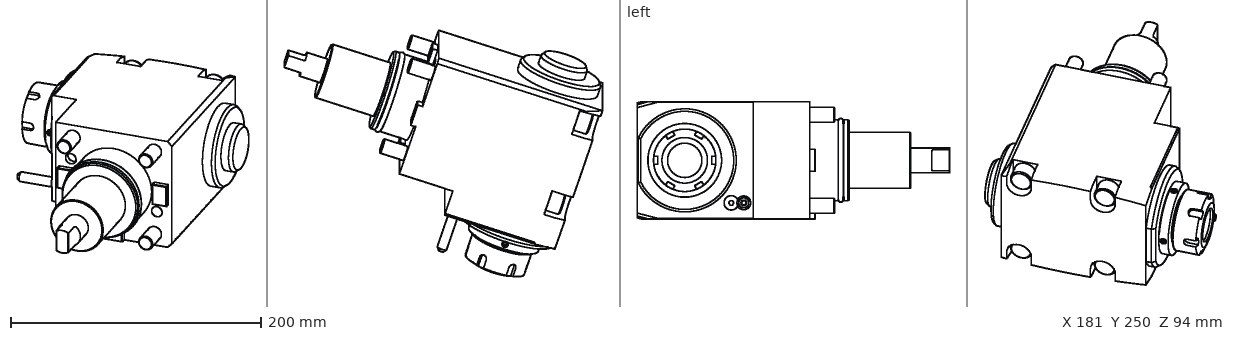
import cadquery as cq
import math


BLOCK_BACK = 138.0
BLOCK_HALF_HEIGHT = 47.0
BLOCK_HALF_WIDTH = 50.0
NOSE_LEFT = -71.0
NOSE_FRONT = 45.0
RIGHT_CHAMFER = 3.8
NOSE_CHAMFER_X = 1.5
NOSE_CHAMFER_Z = 0.5

SWING_RADIUS = 155.0
SWING_AXIS_X = -5.0
SWING_BACK_GAP = 3.8
SWING_ANGLE = 16.0

PILOT_RADIUS = 32.5
PILOT_LENGTH = 31.8
PILOT_CHAMFER_RADIAL = 1.0
PILOT_CHAMFER_AXIAL = 1.5
SHANK_RADIUS = 22.5
SHANK_END = 80.8
SHANK_CHAMFER = 0.8
DRIVE_RADIUS = 10.0
OVERALL_LENGTH = 250.0
DRIVE_END = OVERALL_LENGTH - BLOCK_BACK
TANG_START = 97.8
TANG_HALF_WIDTH = 5.2
TANG_ROOT_FILLET = 1.2
TANG_TIP_CHAMFER = 0.5

RING_SECTION_RADIUS = 2.0
RING_OUTER_RADIUS = 33.5
RING_CENTRE_RADIUS = RING_OUTER_RADIUS - RING_SECTION_RADIUS
GROOVE_START = 22.8
GROOVE_WIDTH = 4.5
GROOVE_FLOOR_RADIUS = RING_CENTRE_RADIUS - RING_SECTION_RADIUS

SCREW_X = 35.0
SCREW_Z = 36.5
SCREW_RADIUS = 6.0
SCREW_PROJECTION = 20.0
SCREW_CHAMFER = 0.8
HEAD_RADIUS = 9.0
HEAD_HEIGHT = 12.0
HEAD_CHAMFER = 1.0
POCKET_RADIUS = 10.2
POCKET_DEPTH = 17.5

KEY_HEIGHT = 4.5
KEY_WIDTH = 17.8
KEY_INNER = 34.8
KEY_OUTER = 47.0
KEY_CHAMFER = 0.5

FACE_HOLE_X = 37.0
FACE_HOLE_Z = 17.0
FACE_HOLE_RADIUS = 4.5
FACE_HOLE_DEPTH = 5.0
DRILL_POINT_ANGLE = 118.0
PLUG_RECESS = 0.2

SPINDLE_Y = 100.0
FLANGE_RADIUS = 41.2
FLANGE_LEFT = -78.5
FLANGE_FLAT = 37.2
FLANGE_CHAMFER_AXIAL = 3.0
FLANGE_CHAMFER_RADIAL = 2.0
COLLAR_RADIUS = 29.5
COLLAR_LEFT = -87.0
COLLAR_GAP = 0.8
COLLAR_GAP_RADIUS = 27.5
NECK_RADIUS = 20.2
SET_SCREW_COUNT = 4
SET_SCREW_X = -83.0
SET_SCREW_RADIUS = 2.5
SET_SCREW_RECESS = 0.5
SOCKET_RADIUS = 1.2
SOCKET_DEPTH = 2.5

NUT_LEFT = -111.2
NUT_RIGHT = -89.0
NUT_RADIUS = 25.0
NUT_CONE_LENGTH = 2.5
NUT_FACE_RADIUS = 18.2
NUT_REAR_CHAMFER = 0.8
NUT_BORE_RADIUS = 13.8
NUT_BORE_DEPTH = 2.0
SLOT_COUNT = 6
SLOT_WIDTH = 6.5
SLOT_END = -98.8
SLOT_FLOOR_RADIUS = 21.5

COVER_RADIUS = 33.8
COVER_RIGHT = 60.2
COVER_CHAMFER_AXIAL = 2.5
COVER_CHAMFER_RADIAL = 1.8
STUB_RADIUS = 19.5
STUB_RIGHT = 69.8
STUB_CHAMFER_AXIAL = 3.0
STUB_CHAMFER_RADIAL = 2.0

PIPE_Y = 52.8
PIPE_Z = -34.0
PIPE_RADIUS = 4.0
PIPE_TIP = -103.2
PIPE_TIP_LENGTH = 2.5
PIPE_TIP_RADIUS = 2.2
PIPE_BASE_RADIUS = 5.5
PIPE_BASE_LENGTH = 2.2
PIPE_BORE_RADIUS = 1.8
PIPE_BORE_DEPTH = 5.0
SIDE_PLUG_Y = 62.8
SIDE_PLUG_RADIUS = 5.8
SIDE_PLUG_HEX = 4.0
SIDE_PLUG_HEX_DEPTH = 2.5


def box(x_range, y_range, z_range):
    """Axis-aligned box between pairs of limits."""
    sizes = [high - low for low, high in (x_range, y_range, z_range)]
    corner = (x_range[0], y_range[0], z_range[0])
    return cq.Workplane("XY").box(*sizes, centered=False).translate(corner)


def cylinder_y(x, z, radius, y_from, y_to):
    """Cylinder along Y between two positions."""
    return cq.Workplane("XZ", origin=(x, y_from, z)).circle(radius).extrude(y_from - y_to)


def cylinder_x(y, z, radius, x_from, x_to):
    """Cylinder along X between two positions."""
    return cq.Workplane("YZ", origin=(x_from, y, z)).circle(radius).extrude(x_to - x_from)


def turned_x(points, y, z):
    """Solid turned about the X line through (y, z), from an outline of (x, radius) points."""
    outline = cq.Workplane("XY", origin=(0, y, z)).polyline(points).close()
    return outline.revolve(360, (0, 0), (1, 0))


def housing_block():
    outline = [
        (NOSE_LEFT, NOSE_FRONT),
        (-BLOCK_HALF_WIDTH, NOSE_FRONT),
        (-BLOCK_HALF_WIDTH, 0),
        (BLOCK_HALF_WIDTH, 0),
        (BLOCK_HALF_WIDTH, BLOCK_BACK),
        (NOSE_LEFT, BLOCK_BACK),
    ]
    block = cq.Workplane("XY", origin=(0, 0, -BLOCK_HALF_HEIGHT)).polyline(outline).close()
    block = block.extrude(2 * BLOCK_HALF_HEIGHT)
    block = block.edges("|Y and >X").chamfer(RIGHT_CHAMFER)
    for side in (1, -1):
        corner = (
            cq.Workplane("XZ")
            .polyline([
                (NOSE_LEFT, side * BLOCK_HALF_HEIGHT),
                (NOSE_LEFT + NOSE_CHAMFER_X, side * BLOCK_HALF_HEIGHT),
                (NOSE_LEFT, side * (BLOCK_HALF_HEIGHT - NOSE_CHAMFER_Z)),
            ])
            .close()
            .extrude(-BLOCK_BACK)
        )
        block = block.cut(corner)
    return block.intersect(swing_envelope())


def swing_envelope():
    """Double cone about a vertical axis, narrowest at the top and bottom of the block."""
    widest = SWING_RADIUS + BLOCK_HALF_HEIGHT / math.tan(math.radians(SWING_ANGLE))
    axis_y = BLOCK_BACK - SWING_BACK_GAP - SWING_RADIUS
    outline = [
        (0, -BLOCK_HALF_HEIGHT),
        (SWING_RADIUS, -BLOCK_HALF_HEIGHT),
        (widest, 0),
        (SWING_RADIUS, BLOCK_HALF_HEIGHT),
        (0, BLOCK_HALF_HEIGHT),
    ]
    profile = cq.Workplane("XZ", origin=(SWING_AXIS_X, axis_y, 0)).polyline(outline).close()
    return profile.revolve(360, (0, 0), (0, 1))


def shank():
    groove_end = GROOVE_START + GROOVE_WIDTH
    outline = [
        (0, 0),
        (PILOT_RADIUS, 0),
        (PILOT_RADIUS, -GROOVE_START),
        (GROOVE_FLOOR_RADIUS, -GROOVE_START),
        (GROOVE_FLOOR_RADIUS, -groove_end),
        (PILOT_RADIUS, -groove_end),
        (PILOT_RADIUS, -PILOT_LENGTH + PILOT_CHAMFER_AXIAL),
        (PILOT_RADIUS - PILOT_CHAMFER_RADIAL, -PILOT_LENGTH),
        (SHANK_RADIUS, -PILOT_LENGTH),
        (SHANK_RADIUS, -SHANK_END + SHANK_CHAMFER),
        (SHANK_RADIUS - SHANK_CHAMFER, -SHANK_END),
        (DRIVE_RADIUS, -SHANK_END),
        (DRIVE_RADIUS, -DRIVE_END),
        (0, -DRIVE_END),
    ]
    turned = cq.Workplane("XY").polyline(outline).close().revolve(360, (0, 0), (0, 1))
    for side in (1, -1):
        turned = turned.cut(tang_flat(side))
    return turned


def tang_flat(side):
    """Material removed beside the tang, with a rounded root and a bevelled tip."""
    inner = side * TANG_HALF_WIDTH
    outer = side * DRIVE_RADIUS
    outline = (
        cq.Workplane("XY", origin=(0, 0, -DRIVE_RADIUS))
        .moveTo(outer, -TANG_START)
        .lineTo(inner + side * TANG_ROOT_FILLET, -TANG_START)
        .radiusArc((inner, -TANG_START - TANG_ROOT_FILLET), -side * TANG_ROOT_FILLET)
        .lineTo(inner, -DRIVE_END + TANG_TIP_CHAMFER)
        .lineTo(inner - side * TANG_TIP_CHAMFER, -DRIVE_END)
        .lineTo(outer, -DRIVE_END)
        .close()
    )
    return outline.extrude(2 * DRIVE_RADIUS)


def screw_pocket(x, side):
    """Counterbore from the rear, open to the top (side 1) or bottom (side -1)."""
    floor_y = BLOCK_BACK - POCKET_DEPTH
    bore = cylinder_y(x, side * SCREW_Z, POCKET_RADIUS, floor_y, BLOCK_BACK)
    z_limits = sorted((side * SCREW_Z, side * BLOCK_HALF_HEIGHT))
    mouth = box((x - POCKET_RADIUS, x + POCKET_RADIUS), (floor_y, BLOCK_BACK), z_limits)
    return bore.union(mouth)


def screw_head(x, side):
    floor_y = BLOCK_BACK - POCKET_DEPTH
    head = cylinder_y(x, side * SCREW_Z, HEAD_RADIUS, floor_y, floor_y + HEAD_HEIGHT)
    return head.faces(">Y").chamfer(HEAD_CHAMFER)


def screw_end(x, side):
    end = cylinder_y(x, side * SCREW_Z, SCREW_RADIUS, -SCREW_PROJECTION, 0)
    return end.faces("<Y").chamfer(SCREW_CHAMFER)


def locating_keys():
    half = KEY_WIDTH / 2
    depth = (-KEY_HEIGHT, 0)
    left = box((-KEY_OUTER, -KEY_INNER), depth, (-half, half))
    right = box((KEY_INNER, KEY_OUTER), depth, (-half, half))
    bottom = box((-half, half), depth, (-KEY_OUTER, -KEY_INNER))
    return [key.faces("<Y").chamfer(KEY_CHAMFER) for key in (left, right, bottom)]


def face_hole():
    """Blind drilled hole with a conical bottom."""
    point_depth = FACE_HOLE_RADIUS / math.tan(math.radians(DRILL_POINT_ANGLE / 2))
    outline = [
        (0, 0),
        (FACE_HOLE_RADIUS, 0),
        (FACE_HOLE_RADIUS, FACE_HOLE_DEPTH),
        (0, FACE_HOLE_DEPTH + point_depth),
    ]
    profile = cq.Workplane("XY", origin=(-FACE_HOLE_X, 0, FACE_HOLE_Z)).polyline(outline).close()
    return profile.revolve(360, (0, 0), (0, 1))


def spindle_flange():
    front_radius = FLANGE_RADIUS - FLANGE_CHAMFER_RADIAL
    shoulder = FLANGE_LEFT + FLANGE_CHAMFER_AXIAL
    disc = turned_x(
        [
            (NOSE_LEFT, 0),
            (FLANGE_LEFT, 0),
            (FLANGE_LEFT, front_radius),
            (shoulder, FLANGE_RADIUS),
            (NOSE_LEFT, FLANGE_RADIUS),
        ],
        SPINDLE_Y,
        0,
    )
    flat_y = SPINDLE_Y + FLANGE_FLAT
    beyond = SPINDLE_Y + FLANGE_RADIUS
    flat = (
        cq.Workplane("XY", origin=(0, 0, -FLANGE_RADIUS))
        .polyline([
            (NOSE_LEFT, flat_y),
            (shoulder, flat_y),
            (FLANGE_LEFT, flat_y - FLANGE_CHAMFER_RADIAL),
            (FLANGE_LEFT, beyond),
            (NOSE_LEFT, beyond),
        ])
        .close()
        .extrude(2 * FLANGE_RADIUS)
    )
    return disc.cut(flat)


def spindle_nose():
    """Collar, neck and collet nut turned in one piece, with slots and set screws."""
    nose = turned_x(
        [
            (FLANGE_LEFT, 0),
            (FLANGE_LEFT, COLLAR_GAP_RADIUS),
            (FLANGE_LEFT - COLLAR_GAP, COLLAR_GAP_RADIUS),
            (FLANGE_LEFT - COLLAR_GAP, COLLAR_RADIUS),
            (COLLAR_LEFT, COLLAR_RADIUS),
            (COLLAR_LEFT, NECK_RADIUS),
            (NUT_RIGHT, NECK_RADIUS),
            (NUT_RIGHT, NUT_RADIUS - NUT_REAR_CHAMFER),
            (NUT_RIGHT - NUT_REAR_CHAMFER, NUT_RADIUS),
            (NUT_LEFT + NUT_CONE_LENGTH, NUT_RADIUS),
            (NUT_LEFT, NUT_FACE_RADIUS),
            (NUT_LEFT, NUT_BORE_RADIUS),
            (NUT_LEFT + NUT_BORE_DEPTH, NUT_BORE_RADIUS),
            (NUT_LEFT + NUT_BORE_DEPTH, 0),
        ],
        SPINDLE_Y,
        0,
    )
    axis_start = (0, SPINDLE_Y, 0)
    axis_end = (1, SPINDLE_Y, 0)
    for index in range(SLOT_COUNT):
        angle = index * 360 / SLOT_COUNT
        nose = nose.cut(nut_slot().rotate(axis_start, axis_end, angle))
    for index in range(SET_SCREW_COUNT):
        angle = index * 360 / SET_SCREW_COUNT
        nose = nose.cut(set_screw_recess().rotate(axis_start, axis_end, angle))
    return nose


def nut_slot():
    """Round-ended spanner slot on the -Y side of the nut."""
    centre_x = SLOT_END - SLOT_WIDTH / 2
    half = SLOT_WIDTH / 2
    outline = (
        cq.Workplane("XZ", origin=(0, SPINDLE_Y - SLOT_FLOOR_RADIUS, 0))
        .moveTo(NUT_LEFT, -half)
        .lineTo(centre_x, -half)
        .threePointArc((SLOT_END, 0), (centre_x, half))
        .lineTo(NUT_LEFT, half)
        .close()
    )
    return outline.extrude(NUT_RADIUS)


def set_screw_recess():
    """Stepped radial recess on the -Y side of the collar."""
    outer_y = SPINDLE_Y - COLLAR_RADIUS
    screw_y = outer_y + SET_SCREW_RECESS
    recess = cylinder_y(SET_SCREW_X, 0, SET_SCREW_RADIUS, outer_y, screw_y)
    socket = cylinder_y(SET_SCREW_X, 0, SOCKET_RADIUS, screw_y, screw_y + SOCKET_DEPTH)
    return recess.union(socket)


def rear_cover():
    """Cover disc and stub on the right face."""
    return turned_x(
        [
            (BLOCK_HALF_WIDTH, 0),
            (BLOCK_HALF_WIDTH, COVER_RADIUS),
            (COVER_RIGHT - COVER_CHAMFER_AXIAL, COVER_RADIUS),
            (COVER_RIGHT, COVER_RADIUS - COVER_CHAMFER_RADIAL),
            (COVER_RIGHT, STUB_RADIUS),
            (STUB_RIGHT - STUB_CHAMFER_AXIAL, STUB_RADIUS),
            (STUB_RIGHT, STUB_RADIUS - STUB_CHAMFER_RADIAL),
            (STUB_RIGHT, 0),
        ],
        SPINDLE_Y,
        0,
    )


def coolant_pipe():
    return turned_x(
        [
            (NOSE_LEFT, 0),
            (NOSE_LEFT, PIPE_BASE_RADIUS),
            (NOSE_LEFT - PIPE_BASE_LENGTH, PIPE_RADIUS),
            (PIPE_TIP + PIPE_TIP_LENGTH, PIPE_RADIUS),
            (PIPE_TIP, PIPE_TIP_RADIUS),
            (PIPE_TIP, PIPE_BORE_RADIUS),
            (PIPE_TIP + PIPE_BORE_DEPTH, PIPE_BORE_RADIUS),
            (PIPE_TIP + PIPE_BORE_DEPTH, 0),
        ],
        PIPE_Y,
        PIPE_Z,
    )


def side_plug_recess():
    """Slightly sunk plug face with a hexagon socket."""
    plug_face = NOSE_LEFT + PLUG_RECESS
    face = cylinder_x(SIDE_PLUG_Y, PIPE_Z, SIDE_PLUG_RADIUS, NOSE_LEFT, plug_face)
    socket = cq.Workplane("YZ", origin=(NOSE_LEFT, SIDE_PLUG_Y, PIPE_Z)).polygon(6, SIDE_PLUG_HEX)
    return face.union(socket.extrude(SIDE_PLUG_HEX_DEPTH))


def make_housing():
    body = housing_block()
    for side in (1, -1):
        for x in (-SCREW_X, SCREW_X):
            body = body.cut(screw_pocket(x, side))
            body = body.union(screw_head(x, side))
            body = body.union(screw_end(x, side))
    for key in locating_keys():
        body = body.union(key)
    body = body.cut(face_hole())
    body = body.cut(cylinder_y(FACE_HOLE_X, -FACE_HOLE_Z, FACE_HOLE_RADIUS, 0, PLUG_RECESS))
    body = body.cut(side_plug_recess())
    for attachment in (shank(), spindle_flange(), spindle_nose(), rear_cover(), coolant_pipe()):
        body = body.union(attachment)
    return body


def make_sealing_ring():
    """Round-section ring resting on the floor and inner wall of the pilot groove."""
    centre_y = -GROOVE_START - RING_SECTION_RADIUS
    section = cq.Workplane("XY").center(RING_CENTRE_RADIUS, centre_y).circle(RING_SECTION_RADIUS)
    return section.revolve(360, (-RING_CENTRE_RADIUS, 0), (-RING_CENTRE_RADIUS, 1))


housing = make_housing()
sealing_ring = make_sealing_ring()

result = cq.Compound.makeCompound([housing.val(), sealing_ring.val()])